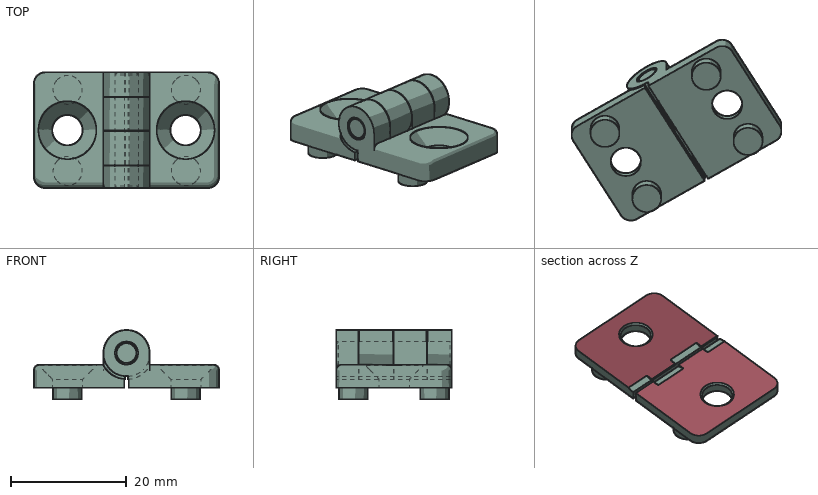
import cadquery as cq
import math


hinge_width = 32.0
hinge_length = 20.0
plate_thickness = 4.0
corner_radius = 2.0
top_edge_radius = 1.0
leaf_gap = 0.7

screw_offset = 10.2
screw_hole_diameter = 5.2
countersink_diameter = 10.0
countersink_angle = 90.0
countersink_rim = 0.1
peg_diameter = 5.0
peg_height = 2.0
peg_spacing = 14.0

knuckle_radius = 4.0
axis_height = 6.0
recess_radius = 4.5
web_base = axis_height - recess_radius
web_gap = 0.5
knuckle_clearance = 0.1
knuckle_joints = [-6.1, -0.1, 5.7]

pin_diameter = 4.0
pin_chamfer = 0.3
pin_end_recess = 0.1

half_length = hinge_length / 2
LEFT = -1
RIGHT = 1


def cylinder_along_y(radius, start, end):
    """Solid cylinder on the pin axis between two Y positions."""
    return (
        cq.Workplane("XZ", origin=(0, start, axis_height))
        .circle(radius)
        .extrude(start - end)
    )


def knuckle_span(index):
    """Start and end Y of a knuckle, counted from the -Y end."""
    start = -half_length
    end = half_length
    if index > 0:
        start = knuckle_joints[index - 1] + knuckle_clearance / 2
    if index < len(knuckle_joints):
        end = knuckle_joints[index] - knuckle_clearance / 2
    return start, end


def recess_span(index):
    """Y range left free for a knuckle of the other leaf, clearance included."""
    start, end = knuckle_span(index)
    if index > 0:
        start -= knuckle_clearance
    if index < len(knuckle_joints):
        end += knuckle_clearance
    return start, end


def make_plate(side):
    """Plate with rounded outer corners and a rounded top rim on its three free sides."""
    width = (hinge_width - leaf_gap) / 2
    middle = side * (hinge_width + leaf_gap) / 4
    outer = ">X" if side == RIGHT else "<X"
    inner = "<X" if side == RIGHT else ">X"
    plate = (
        cq.Workplane("XY", origin=(middle, 0, 0))
        .rect(width, hinge_length)
        .extrude(plate_thickness)
    )
    plate = plate.faces(outer).edges("|Z").fillet(corner_radius)
    inner_edge = cq.selectors.StringSyntaxSelector(inner)
    rim = plate.faces(">Z").edges(cq.selectors.InverseSelector(inner_edge))
    return rim.fillet(top_edge_radius)


def make_knuckle(side, start, end):
    """Round barrel with a square web that joins it to the plate."""
    barrel = cylinder_along_y(knuckle_radius, start, end)
    web_width = knuckle_radius - web_gap / 2
    web_middle = side * (knuckle_radius + web_gap / 2) / 2
    web = (
        cq.Workplane("XY", origin=(web_middle, (start + end) / 2, web_base))
        .rect(web_width, end - start)
        .extrude(axis_height - web_base)
    )
    return barrel.union(web)


def make_screw_hole(side):
    """Material removed for a countersunk screw: through hole, cone and straight rim."""
    hole_radius = screw_hole_diameter / 2
    sink_radius = countersink_diameter / 2
    cone_top = plate_thickness - countersink_rim
    cone_depth = (sink_radius - hole_radius) / math.tan(math.radians(countersink_angle / 2))
    return (
        cq.Workplane("XZ", origin=(side * screw_offset, 0, 0))
        .lineTo(hole_radius, 0)
        .lineTo(hole_radius, cone_top - cone_depth)
        .lineTo(sink_radius, cone_top)
        .lineTo(sink_radius, plate_thickness)
        .lineTo(0, plate_thickness)
        .close()
        .revolve(360, (0, 0), (0, 1))
    )


def make_leaf(side, own_knuckles, other_knuckles):
    """Hinge leaf on one side of the pin, with its knuckles, pegs and screw hole."""
    leaf = make_plate(side)

    for index in other_knuckles:
        leaf = leaf.cut(cylinder_along_y(recess_radius, *recess_span(index)))

    for index in own_knuckles:
        leaf = leaf.union(make_knuckle(side, *knuckle_span(index)))
    leaf = leaf.cut(cylinder_along_y(pin_diameter / 2, -half_length, half_length))

    pegs = (
        cq.Workplane("XY", origin=(side * screw_offset, 0, 0))
        .rarray(1, peg_spacing, 1, 2)
        .circle(peg_diameter / 2)
        .extrude(-peg_height)
    )
    leaf = leaf.union(pegs)
    return leaf.cut(make_screw_hole(side))


def make_pin():
    """Pin chamfered at both ends and set slightly inside the outer knuckles."""
    half_pin = half_length - pin_end_recess
    pin = cylinder_along_y(pin_diameter / 2, -half_pin, half_pin)
    return pin.faces("<Y or >Y").chamfer(pin_chamfer)


right_knuckles = [0, 2]
left_knuckles = [1, 3]

left_leaf = make_leaf(LEFT, left_knuckles, right_knuckles)
right_leaf = make_leaf(RIGHT, right_knuckles, left_knuckles)
pin = make_pin()

result = cq.Compound.makeCompound([
    *left_leaf.solids().vals(),
    *right_leaf.solids().vals(),
    *pin.solids().vals(),
])